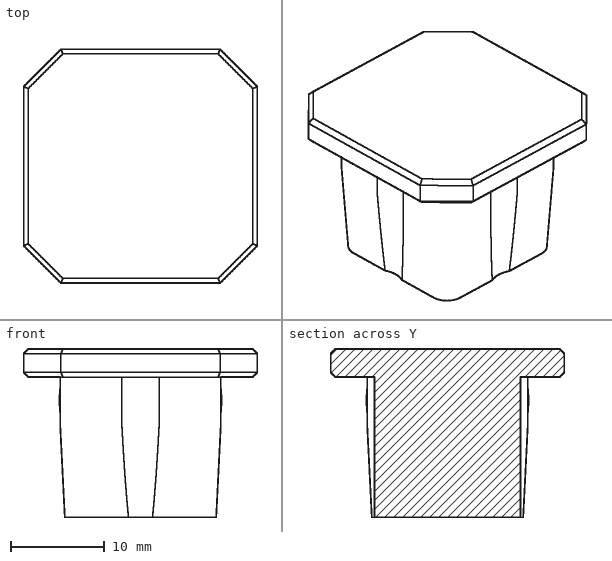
import cadquery as cq
import math

plate_side = 25.0
plate_height = 3.0
corner_cut = 4.0
plate_chamfer = 0.5

plug_width = 17.2
foot_width = 16.2
collar_height = 5.0
taper_height = 10.0
plug_corner_radius = 2.0
plug_height = collar_height + taper_height
wall_slope = (plug_width - foot_width) / 2 / taper_height

groove_width = 4.0
groove_depth = 0.8

bump_diameter = 2.5
bump_height = 0.1
bump_offset = plug_width / 4
bump_z = taper_height + collar_height / 2

side_angles = (0, 90, 180, 270)


def radius_from_chord(chord, rise):
    """Radius of the arc that spans a chord with the given rise."""
    return (chord**2 / 4 + rise**2) / (2 * rise)


def turn(shape, angle):
    """Turn a shape about the part's upright axis."""
    return shape.rotate((0, 0, 0), (0, 0, 1), angle)


def make_plate():
    base = cq.Workplane("XY").workplane(offset=plug_height)
    plate = base.rect(plate_side, plate_side).extrude(plate_height)
    plate = plate.edges("|Z").chamfer(corner_cut)
    return plate.faces("<Z or >Z").chamfer(plate_chamfer)


def make_plug():
    """Straight block trimmed by a block that narrows downwards; their walls meet at the collar's lower end."""
    head_width = plug_width + 2 * collar_height * wall_slope
    draft_angle = math.degrees(math.atan(wall_slope))
    top = cq.Workplane("XY").workplane(offset=plug_height)
    straight = top.rect(plug_width, plug_width).extrude(-plug_height)
    tapered = top.rect(head_width, head_width).extrude(-plug_height, taper=draft_angle)
    corner_edges = "not(|X or |Y)"
    straight = straight.edges(corner_edges).fillet(plug_corner_radius)
    tapered = tapered.edges(corner_edges).fillet(plug_corner_radius)
    return straight.intersect(tapered)


def make_groove():
    """Round cutter for the groove on the -Y side."""
    radius = radius_from_chord(groove_width, groove_depth)
    axis_y = -plug_width / 2 + groove_depth - radius
    return cq.Workplane("XY").center(0, axis_y).circle(radius).extrude(plug_height)


def make_bump(x):
    """Cone standing on the -Y side, pointing outwards."""
    base = cq.Vector(x, -plug_width / 2, bump_z)
    return cq.Workplane(cq.Solid.makeCone(bump_diameter / 2, 0, bump_height, base, cq.Vector(0, -1, 0)))


plug = make_plug()
groove = make_groove()
bumps = [make_bump(x) for x in (-bump_offset, bump_offset)]
for angle in side_angles:
    plug = plug.cut(turn(groove, angle))
    for bump in bumps:
        plug = plug.union(turn(bump, angle))

result = make_plate().union(plug)